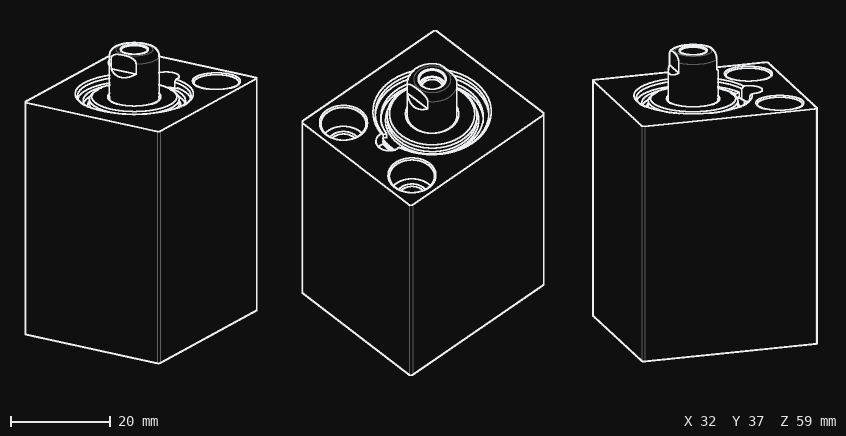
import cadquery as cq
import math

width = 32.0
depth = 37.0
total_height = 59.0
housing_top = 49.5
axis_to_front = 16.0
corner_radius = 0.5
block_center_y = depth / 2 - axis_to_front

bore_radius = 22.8 / 2
bore_chamfer = 0.5

bolt_x = 10.0
bolt_y = 15.0
bolt_hole_radius = 5.5 / 2
bolt_hole_chamfer = 0.35
counterbore_radius = 9.0 / 2
counterbore_chamfer = 0.3
counterbore_depth = 5.8

relief_radius = 5.25 / 2
relief_y = 11.85
relief_depth = 3.25

gland_thickness = 14.75
gland_shelf = housing_top - 2.5
gland_bottom = gland_shelf - gland_thickness
gland_edge_chamfer = 0.25
boss_top = housing_top - 0.65
boss_radius = 18.0 / 2
boss_chamfer = 0.5
boss_foot = 0.35
ring_top = housing_top - 1.5
ring_inner_radius = 10.25
ring_gap_outer_half = 3.4
ring_gap_inner_half = 2.8
ring_gap_overrun = 0.6

rod_radius = 10.0 / 2
rod_top_fillet = 1.3
rod_hole_chamfer = 0.35
flat_half_width = 8.0 / 2
flat_length = 3.5
socket_radius = 5.25 / 2
socket_chamfer = 0.2
socket_depth = 2.0
tap_chamfer = 0.3
tap_radius = 4.15 / 2
tap_depth = 9.45


def revolved(points):
    """Solid of revolution about Z from a closed outline of (radius, height) points."""
    return cq.Workplane("XZ").polyline(points).close().revolve(360, (0, 0, 0), (0, 1, 0))


def cylinder(radius, bottom, top):
    return cq.Workplane("XY").workplane(offset=bottom).circle(radius).extrude(top - bottom)


def flared_hole(radius, bottom, top, flare):
    """Cutter for a hole whose mouth at the top carries a 45 degree chamfer."""
    return revolved([
        (0, bottom),
        (radius, bottom),
        (radius, top - flare),
        (radius + flare, top),
        (0, top),
    ])


def make_housing():
    block = (
        cq.Workplane("XY")
        .center(0, block_center_y)
        .rect(width, depth)
        .extrude(housing_top)
        .edges("|Z")
        .fillet(corner_radius)
    )
    block = block.cut(flared_hole(bore_radius, gland_bottom, housing_top, bore_chamfer))

    seat = housing_top - counterbore_depth
    bolt_hole = flared_hole(bolt_hole_radius, 0, seat, bolt_hole_chamfer)
    counterbore = flared_hole(counterbore_radius, seat, housing_top, counterbore_chamfer)
    for x in (-bolt_x, bolt_x):
        for cutter in (bolt_hole, counterbore):
            block = block.cut(cutter.translate((x, bolt_y, 0)))

    relief = cylinder(relief_radius, housing_top - relief_depth, housing_top)
    return block.cut(relief.translate((0, relief_y, 0)))


def make_retaining_ring():
    """Open ring on the gland shelf, with a tapered gap towards +Y."""
    ring = cylinder(bore_radius, gland_shelf, ring_top)
    ring = ring.cut(cylinder(ring_inner_radius, gland_shelf, ring_top))
    outer_y = math.sqrt(bore_radius**2 - ring_gap_outer_half**2)
    inner_y = math.sqrt(ring_inner_radius**2 - ring_gap_inner_half**2)
    taper = (ring_gap_outer_half - ring_gap_inner_half) / (outer_y - inner_y)
    far_y = bore_radius + ring_gap_overrun
    near_y = inner_y - ring_gap_overrun
    far_half = ring_gap_outer_half + taper * (far_y - outer_y)
    near_half = ring_gap_inner_half - taper * (inner_y - near_y)
    gap = (
        cq.Workplane("XY")
        .workplane(offset=gland_shelf)
        .polyline([(-near_half, near_y), (near_half, near_y), (far_half, far_y), (-far_half, far_y)])
        .close()
        .extrude(ring_top - gland_shelf)
    )
    return ring.cut(gap)


def make_gland():
    body = revolved([
        (0, gland_bottom),
        (bore_radius, gland_bottom),
        (bore_radius, gland_shelf - gland_edge_chamfer),
        (bore_radius - gland_edge_chamfer, gland_shelf),
        (boss_radius + boss_foot, gland_shelf),
        (boss_radius, gland_shelf + boss_foot),
        (boss_radius, boss_top - boss_chamfer),
        (boss_radius - boss_chamfer, boss_top),
        (0, boss_top),
    ])
    body = body.union(make_retaining_ring())
    return body.cut(flared_hole(rod_radius, gland_bottom, boss_top, rod_hole_chamfer))


def make_rod():
    rod = cylinder(rod_radius, gland_bottom, total_height).faces(">Z").edges().fillet(rod_top_fillet)

    flat_bottom = total_height - flat_length
    runout = rod_radius - flat_half_width
    for side in (-1, 1):
        flat = (
            cq.Workplane("YZ")
            .polyline([
                (side * flat_half_width, total_height),
                (side * flat_half_width, flat_bottom),
                (side * rod_radius, flat_bottom - runout),
                (side * rod_radius, total_height),
            ])
            .close()
            .extrude(rod_radius, both=True)
        )
        rod = rod.cut(flat)

    socket_floor = total_height - socket_depth
    rod = rod.cut(flared_hole(socket_radius, socket_floor, total_height, socket_chamfer))
    tap_bottom = total_height - tap_depth
    return rod.cut(flared_hole(tap_radius, tap_bottom, socket_floor, tap_chamfer))


housing = make_housing()
gland = make_gland()
rod = make_rod()
result = cq.Compound.makeCompound([housing.val(), gland.val(), rod.val()])